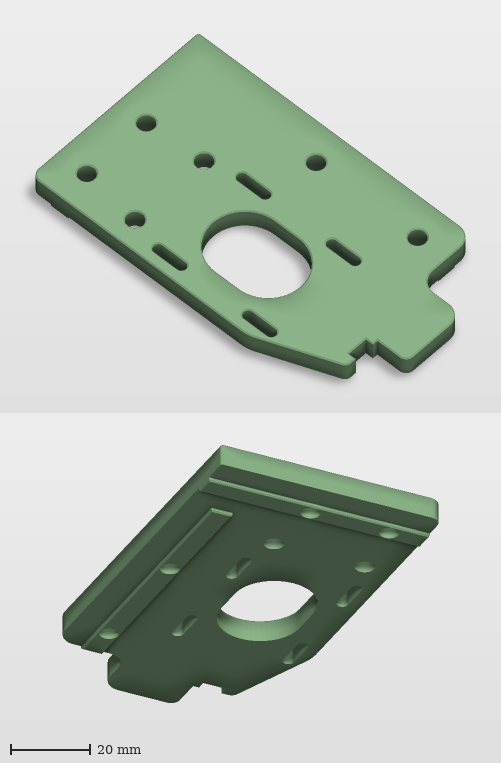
import cadquery as cq

LENGTH = 110.0
WIDTH = 62.0
THICKNESS = 6.0
KEY_HEIGHT = 1.0
CHAMFER = 0.38

SHOULDER_X = 94.9
TAB_TOP_Y = 42.0
TAB_BOTTOM_Y = 21.1
NOSE_X = 99.9
NOSE_CORNER_Y = 9.9
SLOPE_START_X = 74.7
LARGE_RADIUS = 5.0
CORNER_RADIUS = 3.0
TAB_CORNER_RADIUS = 2.4
SLOPE_RADIUS = 10.0
NOSE_RADIUS = 2.0

NOTCH_X = 97.5
NOTCH_BOTTOM_Y = 13.2
NOTCH_TOP_Y = 19.5

MOTOR_X = 59.0
MOTOR_Y = 20.4
MOTOR_TRAVEL = 8.0
MOTOR_BOSS_DIAMETER = 22.0
MOTOR_BOLT_PITCH = 31.0
MOTOR_BOLT_DIAMETER = 3.0

KEY_WIDTH = 5.9
KEY_INSET = 10.0
BACK_KEY_START_X = 2 * KEY_INSET

MOUNT_DIAMETER = 5.1
SIDE_MOUNT_YS = (10.0, 32.0)
BACK_MOUNT_XS = (49.9, 84.9)
PAIR_DIAMETER = 5.2
PAIR_X = 28.9
PAIR_PITCH = 25.5


def make_plate():
    outline = [
        (0, 0),
        (SLOPE_START_X, 0),
        (NOSE_X, NOSE_CORNER_Y),
        (NOSE_X, NOTCH_BOTTOM_Y),
        (NOTCH_X, NOTCH_BOTTOM_Y),
        (NOTCH_X, NOTCH_TOP_Y),
        (NOSE_X, NOTCH_TOP_Y),
        (NOSE_X, TAB_BOTTOM_Y),
        (LENGTH, TAB_BOTTOM_Y),
        (LENGTH, TAB_TOP_Y),
        (SHOULDER_X, TAB_TOP_Y),
        (SHOULDER_X, WIDTH),
        (0, WIDTH),
    ]
    rounded_corners = [
        (0, 0, CORNER_RADIUS),
        (SLOPE_START_X, 0, SLOPE_RADIUS),
        (NOSE_X, NOSE_CORNER_Y, NOSE_RADIUS),
        (LENGTH, TAB_BOTTOM_Y, TAB_CORNER_RADIUS),
        (LENGTH, TAB_TOP_Y, LARGE_RADIUS),
        (SHOULDER_X, TAB_TOP_Y, LARGE_RADIUS),
        (SHOULDER_X, WIDTH, LARGE_RADIUS),
    ]
    plate = cq.Workplane("XY").polyline(outline).close().extrude(THICKNESS)
    for x, y, radius in rounded_corners:
        corner = cq.NearestToPointSelector((x, y, THICKNESS / 2))
        plate = plate.edges("|Z").edges(corner).fillet(radius)
    return plate.edges("|Z").edges("<X").edges(">Y").chamfer(CHAMFER)


def make_key(x_min, x_max, y_min, y_max):
    """Return a raised strip under the plate, chamfered around its lower face."""
    key = cq.Workplane("XY").box(x_max - x_min, y_max - y_min, KEY_HEIGHT, centered=False)
    return key.translate((x_min, y_min, -KEY_HEIGHT)).faces("<Z").chamfer(CHAMFER)


def cut_holes(body, points, diameter):
    return body.faces(">Z").workplane(origin=(0, 0, 0)).pushPoints(points).hole(diameter)


def cut_slots(body, points, diameter):
    slots = body.faces(">Z").workplane(origin=(0, 0, 0)).pushPoints(points)
    return slots.slot2D(MOTOR_TRAVEL + diameter, diameter).cutThruAll()


back_key_y = WIDTH - KEY_INSET
half_key = KEY_WIDTH / 2
side_key = make_key(KEY_INSET - half_key, KEY_INSET + half_key, 0, WIDTH)
back_key = make_key(BACK_KEY_START_X, SHOULDER_X, back_key_y - half_key, back_key_y + half_key)
body = make_plate().union(side_key).union(back_key)

side_mounts = [(KEY_INSET, y) for y in SIDE_MOUNT_YS]
back_mounts = [(x, back_key_y) for x in BACK_MOUNT_XS]
body = cut_holes(body, side_mounts + back_mounts, MOUNT_DIAMETER)
pair = [(PAIR_X, MOTOR_Y + side * PAIR_PITCH / 2) for side in (-1, 1)]
body = cut_holes(body, pair, PAIR_DIAMETER)

motor_bolts = [
    (MOTOR_X + x_side * MOTOR_BOLT_PITCH / 2, MOTOR_Y + y_side * MOTOR_BOLT_PITCH / 2)
    for x_side in (-1, 1)
    for y_side in (-1, 1)
]
body = cut_slots(body, motor_bolts, MOTOR_BOLT_DIAMETER)
body = cut_slots(body, [(MOTOR_X, MOTOR_Y)], MOTOR_BOSS_DIAMETER)

result = body.faces(">Z").chamfer(CHAMFER)